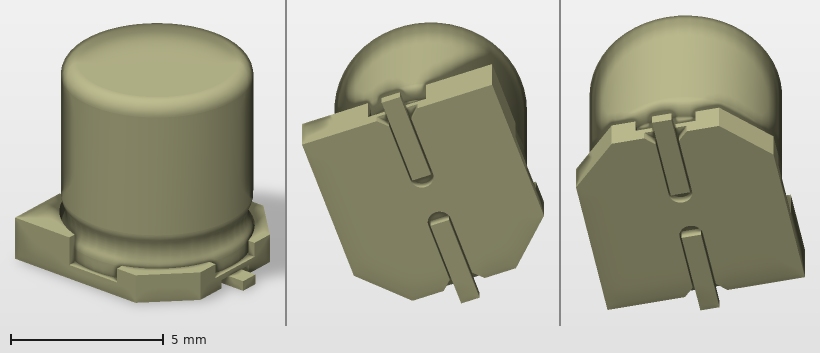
import cadquery as cq
import math


total_length = 7.8
total_height = 7.05

base_width = 6.6
base_bottom_z = 0.05
floor_z = 0.545
low_top_z = 1.05
high_top_z = 1.55
corner_chamfer = 1.505
notch_width = 2.01
cavity_radius = 3.2

can_radius = 3.15
top_fillet = 0.5
neck_z = 1.62
neck_depth = 0.155
lip_height = 0.24
throat_height = 0.38

terminal_width = 0.64
terminal_thickness = 0.35
terminal_inner_x = 0.88
slot_width = 0.78
slot_mouth_width = 1.42

half_base = base_width / 2


def box_between(x_range, y_range, z_range):
    """Axis-aligned box spanning the given ranges."""
    sizes = [high - low for low, high in (x_range, y_range, z_range)]
    corner = (x_range[0], y_range[0], z_range[0])
    return cq.Workplane("XY").box(*sizes, centered=False).translate(corner)


def both_ends(body):
    """The body together with its copy on the opposite X end."""
    return body.union(body.mirror("YZ"))


def make_base():
    """Square plate, chamfered and lower on the +X half, notched on all four sides."""
    half_notch = notch_width / 2
    base = cq.Workplane("XY").box(
        base_width, base_width, high_top_z - base_bottom_z, centered=(True, True, False)
    )
    base = base.translate((0, 0, base_bottom_z))
    base = base.edges("|Z and >X").chamfer(corner_chamfer)

    across = (-half_base, half_base)
    base = base.cut(box_between((0, half_base), across, (low_top_z, high_top_z)))
    notch_z = (floor_z, high_top_z)
    notch_y = (-half_notch, half_notch)
    base = base.cut(box_between(across, notch_y, notch_z))
    base = base.cut(box_between(notch_y, across, notch_z))

    cavity = cq.Workplane("XY").workplane(offset=floor_z).circle(cavity_radius)
    return base.cut(cavity.extrude(high_top_z - floor_z))


def make_slot():
    """Keyhole slot at the -X end: 45 degree mouth, straight walls and a round end."""
    half_slot = slot_width / 2
    half_mouth = slot_mouth_width / 2
    throat_x = -half_base + half_mouth - half_slot
    return (
        cq.Workplane("XY")
        .moveTo(-half_base, -half_mouth)
        .lineTo(throat_x, -half_slot)
        .lineTo(-terminal_inner_x, -half_slot)
        .threePointArc((-terminal_inner_x + half_slot, 0), (-terminal_inner_x, half_slot))
        .lineTo(throat_x, half_slot)
        .lineTo(-half_base, half_mouth)
        .close()
        .extrude(terminal_thickness)
    )


def make_terminal():
    """Flat bar at the -X end, touching the slot's ceiling."""
    half_width = terminal_width / 2
    return box_between(
        (-total_length / 2, -terminal_inner_x), (-half_width, half_width), (0, terminal_thickness)
    )


def make_can():
    """Revolved can with a rounded top and a neck of tangent arcs near the bottom."""
    turn = 2 * math.atan(neck_depth / (lip_height + throat_height))
    lip_radius = lip_height / math.sin(turn)
    throat_radius = throat_height / math.sin(turn)
    neck_radius = can_radius - neck_depth

    def lip_point(angle, side):
        """Radius and height on the outer arc, at an angle from the can wall."""
        radius = can_radius - lip_radius * (1 - math.cos(angle))
        rise = throat_height + lip_height - lip_radius * math.sin(angle)
        return (radius, neck_z + side * rise)

    def throat_point(angle, side):
        """Radius and height on the inner arc, at an angle from the narrowest ring."""
        radius = neck_radius + throat_radius * (1 - math.cos(angle))
        return (radius, neck_z + side * throat_radius * math.sin(angle))

    below, above = -1, 1
    fillet_center = (can_radius - top_fillet, total_height - top_fillet)
    diagonal = top_fillet * math.sqrt(0.5)
    return (
        cq.Workplane("XZ")
        .moveTo(0, floor_z)
        .lineTo(can_radius, floor_z)
        .lineTo(*lip_point(0, below))
        .threePointArc(lip_point(turn / 2, below), lip_point(turn, below))
        .threePointArc(throat_point(turn / 2, below), (neck_radius, neck_z))
        .threePointArc(throat_point(turn / 2, above), throat_point(turn, above))
        .threePointArc(lip_point(turn / 2, above), lip_point(0, above))
        .lineTo(can_radius, fillet_center[1])
        .threePointArc(
            (fillet_center[0] + diagonal, fillet_center[1] + diagonal),
            (fillet_center[0], total_height),
        )
        .lineTo(0, total_height)
        .close()
        .revolve(360, (0, 0), (0, 1))
    )


base = make_base().cut(both_ends(make_slot()))
result = base.union(both_ends(make_terminal())).union(make_can())